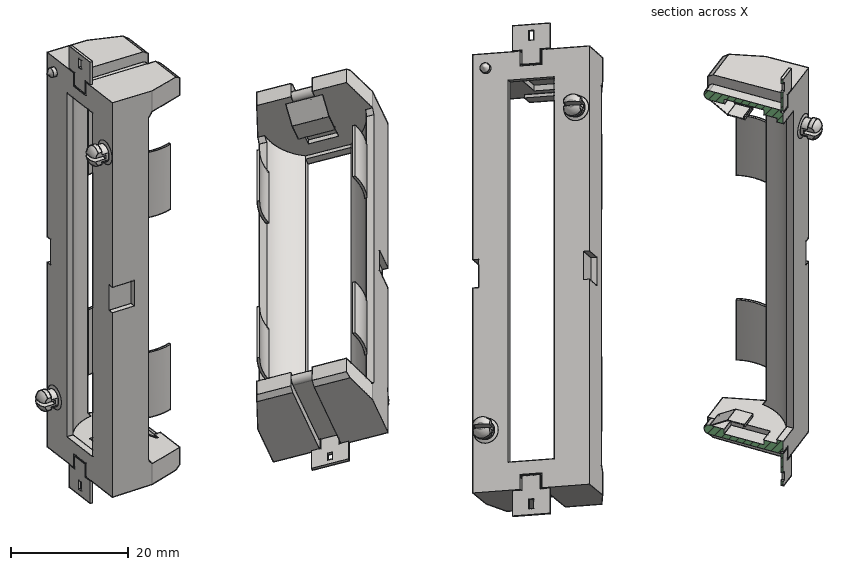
import cadquery as cq
import math

BODY_WIDTH = 20.65
OVERALL_DEPTH = 18.29
OVERALL_LENGTH = 86.0
BODY_LENGTH = 76.9
BODY_HEIGHT = 15.0

RAIL_HEIGHT = 7.3
TAPER_START = 8.0
TOP_WIDTH = 16.15
TOP_CHAMFER_HEIGHT = 1.0
TOP_CHAMFER_LENGTH = 0.65
END_DRAFT = 0.15
BLOCK_THICKNESS = 4.15
RAIL_RAMP = 1.0
OPENING_WIDTH = 8.15
OPENING_LENGTH = 67.0
FLOOR_THICKNESS = 1.25
CRADLE_RADIUS = 9.2
NOTCH_DEPTH = 1.05
NOTCH_LENGTH = 4.95
NOTCH_HEIGHT = 4.4

CHANNEL_WIDTH = 3.85
CHANNEL_DEPTH = 2.62
CONTACT_THICKNESS = 0.5
NECK_WIDTH = 3.25
NECK_GAP = 0.27
STRIP_TOP = 14.85
TAB_WIDTH = 6.65
TAB_GAP = 0.15
TAB_HOLE_WIDTH = 0.9
TAB_HOLE_LENGTH = 1.7
TAB_HOLE_INSET = 1.9
POCKET_WIDTH = 5.4
POCKET_BOTTOM = 3.7
POCKET_TOP = 11.0
POCKET_DEPTH = 1.0
SPRING_THICKNESS = 0.25
SPRING_ROOT_HEIGHT = 13.7
SPRING_BEND_HEIGHT = 10.4
SPRING_END_HEIGHT = 7.2
SPRING_REACH = 2.15
SPRING_LIP = 0.6

CLIP_OUTER_RADIUS = 9.37
CLIP_THICKNESS = 0.45
CLIP_LENGTH = 12.7
CLIP_OFFSET = 19.5
CLIP_TOP = 12.65
CLIP_EMBED = 0.1

STUD_X = 8.0
STUD_Z = 27.7
STUD_FLARE_RADIUS = 2.2
STUD_FLARE_HEIGHT = 0.2
STUD_STEM_RADIUS = 1.62
STUD_HEAD_RADIUS = 1.88
STUD_HEAD_START = 1.5
STUD_DOME_START = 2.3
STUD_DOME_RADIUS = 1.8
STUD_TIP_RADIUS = 0.6
STUD_FLAT_WIDTH = 2.94
STUD_SLOT_WIDTH = 0.65
STUD_SLOT_START = 0.75
PIN_X = -7.95
PIN_Z = 35.8
PIN_RADIUS = 0.86
PIN_STRAIGHT = 0.75
PIN_LENGTH = 1.6

HALF_WIDTH = BODY_WIDTH / 2
HALF_LENGTH = BODY_LENGTH / 2
BLOCK_INNER_Z = HALF_LENGTH - BLOCK_THICKNESS
CHANNEL_FLOOR_Z = HALF_LENGTH - CHANNEL_DEPTH
STRIP_Z = CHANNEL_FLOOR_Z + CONTACT_THICKNESS
STRIP_ROLL_RADIUS = (STRIP_Z - BLOCK_INNER_Z) / 2
TAB_END_Z = OVERALL_LENGTH / 2
STUD_LENGTH = OVERALL_DEPTH - BODY_HEIGHT
CRADLE_Y = FLOOR_THICKNESS + math.sqrt(CRADLE_RADIUS**2 - (OPENING_WIDTH / 2) ** 2)


def block(x_range, y_range, z_range):
    """Box given by its lower and upper limit on each axis."""
    size = [high - low for low, high in (x_range, y_range, z_range)]
    corner = (x_range[0], y_range[0], z_range[0])
    return cq.Workplane("XY").box(*size, centered=False).translate(corner)


def centered_block(width, y_range, z_range):
    """Box centred on X = 0."""
    return block((-width / 2, width / 2), y_range, z_range)


def both_ends(shape):
    """The +Z shape together with its mirror image at the -Z end."""
    return shape.union(shape.mirror("XY"))


def both_sides(shape):
    """The +X shape together with its mirror image on the -X side."""
    return shape.union(shape.mirror("YZ"))


def make_body():
    """Rails and end blocks: the side outline trimmed by the tapered end outline."""
    top_z = HALF_LENGTH - END_DRAFT
    half_side = [
        (0, HALF_LENGTH),
        (BODY_HEIGHT - TOP_CHAMFER_HEIGHT, top_z),
        (BODY_HEIGHT, top_z - TOP_CHAMFER_LENGTH),
        (BODY_HEIGHT, BLOCK_INNER_Z),
        (TAPER_START, BLOCK_INNER_Z),
        (RAIL_HEIGHT, BLOCK_INNER_Z - RAIL_RAMP),
    ]
    mirrored_side = [(y, -z) for y, z in reversed(half_side)]
    side = cq.Workplane("YZ").polyline(half_side + mirrored_side).close()
    side = side.extrude(HALF_WIDTH, both=True)

    end_outline = [
        (-HALF_WIDTH, 0),
        (HALF_WIDTH, 0),
        (HALF_WIDTH, TAPER_START),
        (TOP_WIDTH / 2, BODY_HEIGHT),
        (-TOP_WIDTH / 2, BODY_HEIGHT),
        (-HALF_WIDTH, TAPER_START),
    ]
    ends = cq.Workplane("XY").polyline(end_outline).close().extrude(HALF_LENGTH, both=True)
    return side.intersect(ends)


def make_cradle():
    """Round battery bed between the end blocks, flattened where it meets the floor."""
    bed = cq.Workplane("XY").center(0, CRADLE_Y).circle(CRADLE_RADIUS).extrude(BLOCK_INNER_Z, both=True)
    above_floor = centered_block(
        BODY_WIDTH,
        (FLOOR_THICKNESS, CRADLE_Y + CRADLE_RADIUS),
        (-BLOCK_INNER_Z, BLOCK_INNER_Z),
    )
    return bed.intersect(above_floor)


def make_opening():
    """Rectangular window through the floor."""
    half = OPENING_LENGTH / 2
    return centered_block(OPENING_WIDTH, (0, CRADLE_Y), (-half, half))


def make_notches():
    """Shallow notches at mid length of both sides."""
    half = NOTCH_LENGTH / 2
    notch = block((HALF_WIDTH - NOTCH_DEPTH, HALF_WIDTH), (0, NOTCH_HEIGHT), (-half, half))
    return both_sides(notch)


def make_end_recesses():
    """Contact channels in the end faces and spring pockets in the block inner faces."""
    channel = centered_block(CHANNEL_WIDTH, (0, BODY_HEIGHT), (CHANNEL_FLOOR_Z, HALF_LENGTH))
    pocket = centered_block(
        POCKET_WIDTH,
        (POCKET_BOTTOM, POCKET_TOP),
        (BLOCK_INNER_Z, BLOCK_INNER_Z + POCKET_DEPTH),
    )
    roll_seat = centered_block(
        CHANNEL_WIDTH,
        (STRIP_TOP - STRIP_ROLL_RADIUS, BODY_HEIGHT),
        (BLOCK_INNER_Z, CHANNEL_FLOOR_Z),
    )
    return both_ends(channel.union(pocket).union(roll_seat))


def make_contacts():
    """Solder tab, neck and strip that runs along the channel and rolls over the end wall."""
    plate = (0, CONTACT_THICKNESS)
    shoulder_z = HALF_LENGTH + TAB_GAP
    hole_z = TAB_END_Z - TAB_HOLE_INSET
    tab = centered_block(TAB_WIDTH, plate, (shoulder_z, TAB_END_Z))
    hole = centered_block(
        TAB_HOLE_WIDTH,
        plate,
        (hole_z - TAB_HOLE_LENGTH / 2, hole_z + TAB_HOLE_LENGTH / 2),
    )
    neck = centered_block(NECK_WIDTH, plate, (CHANNEL_FLOOR_Z + NECK_GAP, shoulder_z))
    roll_start = STRIP_TOP - STRIP_ROLL_RADIUS
    strip = (
        cq.Workplane("YZ")
        .moveTo(CONTACT_THICKNESS, STRIP_Z)
        .lineTo(roll_start, STRIP_Z)
        .threePointArc((STRIP_TOP, STRIP_Z - STRIP_ROLL_RADIUS), (roll_start, BLOCK_INNER_Z))
        .lineTo(roll_start, CHANNEL_FLOOR_Z)
        .lineTo(CONTACT_THICKNESS, CHANNEL_FLOOR_Z)
        .close()
        .extrude(CHANNEL_WIDTH / 2, both=True)
    )
    return both_ends(tab.cut(hole).union(neck).union(strip))


def make_springs():
    """Bent leaf springs standing off the inner faces of the end blocks."""
    tip_z = BLOCK_INNER_Z - SPRING_REACH
    back_z = tip_z + SPRING_THICKNESS
    lip_y = SPRING_END_HEIGHT + SPRING_THICKNESS
    root_y = SPRING_ROOT_HEIGHT
    outline = [
        (SPRING_END_HEIGHT, tip_z),
        (SPRING_BEND_HEIGHT, tip_z),
        (root_y, BLOCK_INNER_Z),
        (root_y, BLOCK_INNER_Z + SPRING_THICKNESS),
        (SPRING_BEND_HEIGHT, back_z),
        (lip_y, back_z),
        (lip_y, tip_z + SPRING_LIP),
        (SPRING_END_HEIGHT, tip_z + SPRING_LIP),
    ]
    spring = cq.Workplane("YZ").polyline(outline).close().extrude(TAB_WIDTH / 2, both=True)
    return both_ends(spring)


def make_clips():
    """Thin curved side clips that continue the cradle above the rails."""
    start_z = CLIP_OFFSET - CLIP_LENGTH / 2
    ring = (
        cq.Workplane("XY", origin=(0, CRADLE_Y, start_z))
        .circle(CLIP_OUTER_RADIUS)
        .circle(CLIP_OUTER_RADIUS - CLIP_THICKNESS)
        .extrude(CLIP_LENGTH)
    )
    span = block(
        (0, HALF_WIDTH),
        (RAIL_HEIGHT - CLIP_EMBED, CLIP_TOP),
        (start_z, start_z + CLIP_LENGTH),
    )
    return both_ends(both_sides(ring.intersect(span)))


def revolve_below_front(outline, x, z):
    """Turn an outline of radius and Y about an axis along Y and place it at (x, z)."""
    turned = outline.close().revolve(360, (0, 0, 0), (0, 1, 0))
    return turned.translate((x, 0, z))


def make_stud(x, z):
    """Split snap stud with a flared root, flattened sides and a barbed, domed head."""
    root = FLOOR_THICKNESS / 2
    flare = cq.Workplane("XY").polyline(
        [
            (0, root),
            (STUD_STEM_RADIUS, root),
            (STUD_STEM_RADIUS, 0),
            (STUD_FLARE_RADIUS, 0),
            (STUD_STEM_RADIUS, -STUD_FLARE_HEIGHT),
            (0, -STUD_FLARE_HEIGHT),
        ]
    )
    shank = (
        cq.Workplane("XY")
        .lineTo(STUD_STEM_RADIUS, 0)
        .lineTo(STUD_STEM_RADIUS, -STUD_HEAD_START)
        .lineTo(STUD_HEAD_RADIUS, -STUD_HEAD_START)
        .lineTo(STUD_HEAD_RADIUS, -STUD_DOME_START)
        .radiusArc((STUD_TIP_RADIUS, -STUD_LENGTH), STUD_DOME_RADIUS)
        .lineTo(0, -STUD_LENGTH)
    )
    reach = 2 * STUD_HEAD_RADIUS
    flats = cq.Workplane("XY").box(STUD_FLAT_WIDTH, 2 * STUD_LENGTH, reach).translate((x, 0, z))
    slot = centered_block(
        reach,
        (-STUD_LENGTH, -STUD_SLOT_START),
        (-STUD_SLOT_WIDTH / 2, STUD_SLOT_WIDTH / 2),
    ).translate((x, 0, z))
    trimmed_shank = revolve_below_front(shank, x, z).intersect(flats)
    return revolve_below_front(flare, x, z).union(trimmed_shank).cut(slot)


def make_pin():
    """Pointed locating pin."""
    root = FLOOR_THICKNESS / 2
    outline = cq.Workplane("XY").polyline(
        [(0, root), (PIN_RADIUS, root), (PIN_RADIUS, -PIN_STRAIGHT), (0, -PIN_LENGTH)]
    )
    return revolve_below_front(outline, PIN_X, PIN_Z)


body = make_body()
for removed in (make_cradle(), make_opening(), make_notches(), make_end_recesses()):
    body = body.cut(removed)

for added in (make_contacts(), make_springs(), make_clips(), make_pin()):
    body = body.union(added)

for side in (-1, 1):
    body = body.union(make_stud(side * STUD_X, side * STUD_Z))

result = body